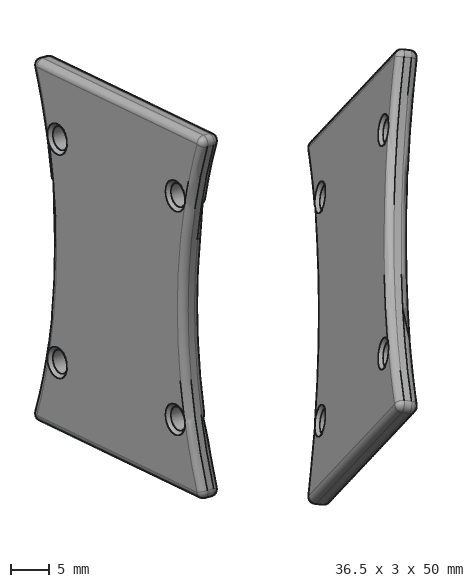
import cadquery as cq

width = 36.5
height = 50.0
thickness = 3.0
waist_width = 28.0
edge_radius = 1.0

hole_diameter = 3.2
hole_chamfer = 0.5
hole_spacing_x = 25.4
hole_spacing_z = 30.8
hole_shift_x = -0.1

corner_x = width / 2 - edge_radius
corner_z = height / 2 - edge_radius
inset_waist_x = waist_width / 2 - edge_radius


def waisted_plate():
    """Plate with concave sides, rounded corners and rounded rims."""
    inset_outline = (
        cq.Workplane("XZ", origin=(0, thickness / 2, 0))
        .moveTo(-corner_x, corner_z)
        .lineTo(corner_x, corner_z)
        .threePointArc((inset_waist_x, 0), (corner_x, -corner_z))
        .lineTo(-corner_x, -corner_z)
        .threePointArc((-inset_waist_x, 0), (-corner_x, corner_z))
        .close()
    )
    plate = inset_outline.offset2D(edge_radius, "arc").extrude(thickness)
    return plate.faces("<Y or >Y").edges().fillet(edge_radius)


def hole_cutter():
    """Through hole along Y with a conical flare at each face."""
    hole_radius = hole_diameter / 2
    mouth_radius = hole_radius + hole_chamfer
    half = thickness / 2
    return (
        cq.Workplane("XY")
        .moveTo(0, -half)
        .lineTo(mouth_radius, -half)
        .lineTo(hole_radius, hole_chamfer - half)
        .lineTo(hole_radius, half - hole_chamfer)
        .lineTo(mouth_radius, half)
        .lineTo(0, half)
        .close()
        .revolve(360, (0, 0, 0), (0, 1, 0))
    )


result = waisted_plate()
for side_x in (-1, 1):
    for side_z in (-1, 1):
        hole_x = hole_shift_x + side_x * hole_spacing_x / 2
        hole_z = side_z * hole_spacing_z / 2
        result = result.cut(hole_cutter().translate((hole_x, 0, hole_z)))